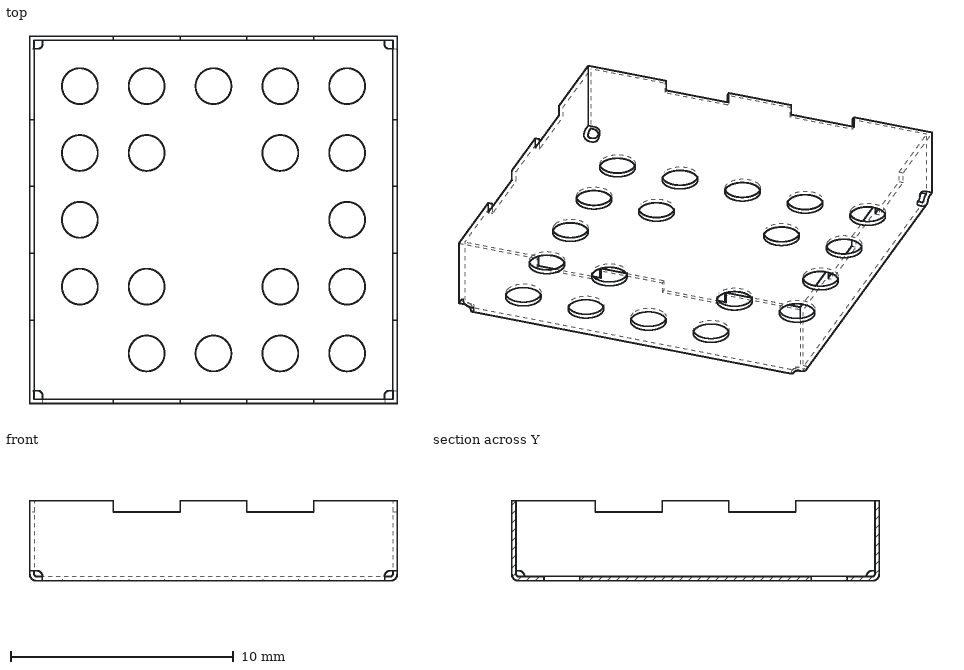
import cadquery as cq

side = 16.5
height = 3.6
sheet = 0.2
bend_inner_radius = 0.1
bend_outer_radius = bend_inner_radius + sheet

hole_diameter = 1.6
hole_pitch = 3.0
grid_steps = range(-2, 3)
solid_positions = [(0, 0), (-1, 0), (1, 0), (0, -1), (0, 1), (-2, -2)]

notch_width = 3.0
notch_depth = 0.5
notch_offset = notch_width

relief_length = 0.57
relief_height = 0.45
relief_floor_radius = 0.2
relief_wall_radius = 0.25


def make_tray():
    """Open box of constant sheet thickness with rounded bends around the floor."""
    inner_side = side - 2 * sheet
    outer = cq.Workplane("XY").rect(side, side).extrude(height)
    outer = outer.faces("<Z").edges().fillet(bend_outer_radius)
    inner = cq.Workplane("XY").workplane(offset=sheet).rect(inner_side, inner_side).extrude(height)
    inner = inner.faces("<Z").edges().fillet(bend_inner_radius)
    return outer.cut(inner)


def make_holes():
    """Cylinders through the floor at every perforated grid position."""
    centers = [
        (column * hole_pitch, row * hole_pitch)
        for column in grid_steps
        for row in grid_steps
        if (column, row) not in solid_positions
    ]
    return cq.Workplane("XY").pushPoints(centers).circle(hole_diameter / 2).extrude(sheet)


def make_notches(plane):
    """Bars that notch the rims of the two walls lying parallel to the given plane."""
    return (
        cq.Workplane(plane)
        .pushPoints([(-notch_offset, height), (notch_offset, height)])
        .rect(notch_width, 2 * notch_depth)
        .extrude(side, both=True)
    )


def make_corner_relief():
    """Block at the -X, -Y bottom corner, rounded on its edges inside the part."""
    return (
        cq.Workplane("XY")
        .box(relief_length, relief_length, relief_height, centered=False)
        .edges(">X and >Y")
        .fillet(relief_floor_radius)
        .edges(">Z and (not <X) and (not <Y)")
        .fillet(relief_wall_radius)
        .translate((-side / 2, -side / 2, 0))
    )


result = make_tray().cut(make_holes())

for wall_plane in ("XZ", "YZ"):
    result = result.cut(make_notches(wall_plane))

for quarter_turn in range(4):
    relief = make_corner_relief().rotate((0, 0, 0), (0, 0, 1), 90 * quarter_turn)
    result = result.cut(relief)